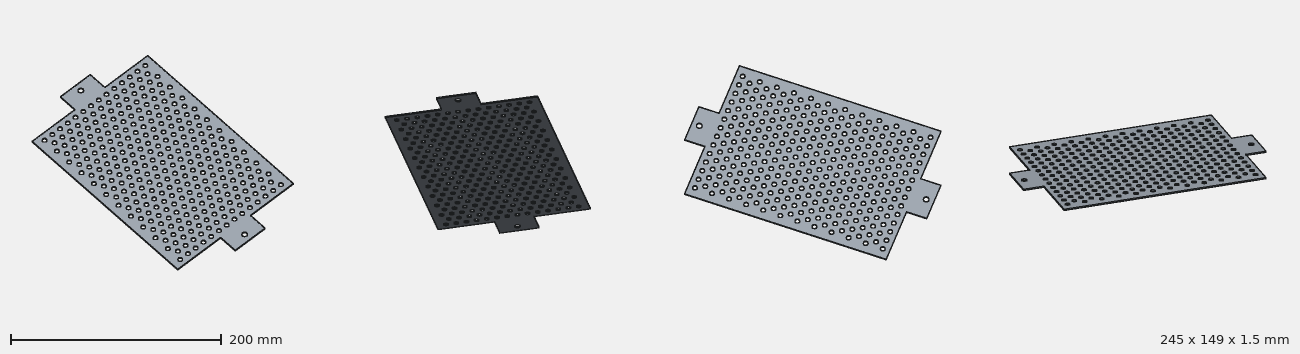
import cadquery as cq
import math

overall_length = 245.0
plate_length = 204.0
plate_width = 149.0
tab_width = 38.5
thickness = 1.5

mount_hole_spacing = 229.5
mount_hole_radius = 2.7

hole_radius = 2.25
column_count = 12
row_count = 14
outer_column_span = 190.0
column_spacing = outer_column_span / (column_count - 1)
hole_pitch = column_spacing / math.sqrt(3)


def make_sheet():
    """Rectangular plate with a tab reaching out from each short edge."""
    plate = cq.Workplane("XY").rect(plate_length, plate_width).extrude(thickness)
    tab_strip = cq.Workplane("XY").rect(overall_length, tab_width).extrude(thickness)
    return plate.union(tab_strip)


def hole_array(columns, rows):
    """Pins for one centred rectangular array of perforation holes."""
    return (
        cq.Workplane("XY")
        .rarray(column_spacing, hole_pitch, columns, rows)
        .circle(hole_radius)
        .extrude(thickness)
    )


def mount_holes():
    """Pins for the mounting holes in the two tabs."""
    return (
        cq.Workplane("XY")
        .rarray(mount_hole_spacing, mount_hole_spacing, 2, 1)
        .circle(mount_hole_radius)
        .extrude(thickness)
    )


main_holes = hole_array(column_count, row_count)
staggered_holes = hole_array(column_count - 1, row_count - 1)

result = make_sheet().cut(main_holes).cut(staggered_holes).cut(mount_holes())